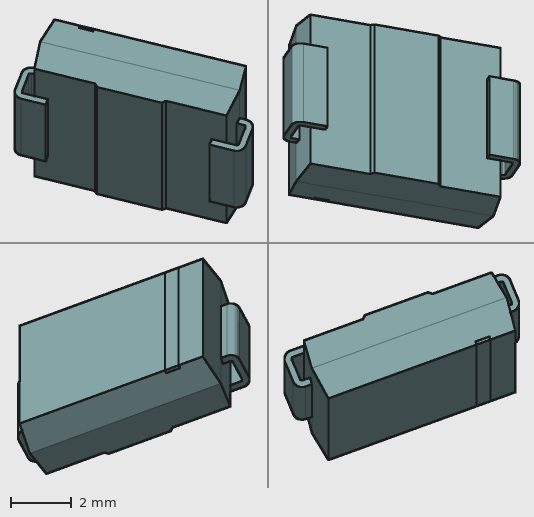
import cadquery as cq
import math

OVERALL_LENGTH = 7.94
OVERALL_DEPTH = 2.5
HOUSING_HEIGHT = 5.91

HOUSING_LENGTH = 6.87
PARTING_Y = 1.36
PAD_FACE_Y = 0.2
BACK_FACE_Y = OVERALL_DEPTH
FACE_INSET = 0.14

PAD_BASE_WIDTH = 2.45
PAD_RISE = 0.11
SIDE_FACE_Y = PAD_FACE_Y + PAD_RISE
PAD_TOP_WIDTH = PAD_BASE_WIDTH - 2 * PAD_RISE

BAND_WIDTH = 0.49
BAND_DEPTH = 0.11
BAND_CENTER_X = -2.18

LEAD_THICKNESS = 0.24
LEAD_WIDTH = 2.98
LEAD_BEND_RADIUS = 0.31
LEAD_FOOT_LENGTH = 1.15


def tapered_half(face_y):
    """Half of the housing, narrowing from the parting plane to a flat face."""
    toward_face = face_y - PARTING_Y
    taper_angle = math.degrees(math.atan(FACE_INSET / abs(toward_face)))
    parting_plane = cq.Plane(
        origin=(0, PARTING_Y, 0),
        xDir=(1, 0, 0),
        normal=(0, math.copysign(1, toward_face), 0),
    )
    return (
        cq.Workplane(parting_plane)
        .rect(HOUSING_LENGTH, HOUSING_HEIGHT)
        .extrude(abs(toward_face), taper=taper_angle)
    )


def make_relief(side):
    """Cutter that lowers the front face beside the pad on one side (-1 left, +1 right)."""
    beyond_wall_x = side * HOUSING_LENGTH / 2
    return (
        cq.Workplane("XY")
        .polyline([
            (side * PAD_TOP_WIDTH / 2, PAD_FACE_Y),
            (side * PAD_BASE_WIDTH / 2, SIDE_FACE_Y),
            (beyond_wall_x, SIDE_FACE_Y),
            (beyond_wall_x, PAD_FACE_Y),
        ])
        .close()
        .extrude(HOUSING_HEIGHT / 2, both=True)
    )


def make_envelope():
    """Housing shape before the band is let in, with the pad standing between two reliefs."""
    envelope = tapered_half(PAD_FACE_Y).union(tapered_half(BACK_FACE_Y))
    for side in (-1, 1):
        envelope = envelope.cut(make_relief(side))
    return envelope


def make_band(envelope):
    """Polarity band, flush with the housing envelope on its back and ends."""
    strip = cq.Workplane("XY").box(BAND_WIDTH, BAND_DEPTH, HOUSING_HEIGHT)
    strip = strip.translate((BAND_CENTER_X, BACK_FACE_Y - BAND_DEPTH / 2, 0))
    return envelope.intersect(strip)


def make_lead(side, envelope):
    """Lead on one side (-1 left, +1 right), ending against the housing wall."""
    outer_x = side * OVERALL_LENGTH / 2
    foot_end_x = side * (OVERALL_LENGTH / 2 - LEAD_FOOT_LENGTH)
    inner_x = outer_x - side * LEAD_THICKNESS
    arm_bottom_y = PARTING_Y - LEAD_THICKNESS
    inner_radius = LEAD_BEND_RADIUS - LEAD_THICKNESS

    def bent_slab(start_x, bottom_y, top_y, radius):
        """Block with its two outward corners rounded."""
        slab = (
            cq.Workplane("XY")
            .moveTo(foot_end_x, bottom_y)
            .lineTo(start_x, bottom_y)
            .lineTo(start_x, top_y)
            .lineTo(foot_end_x, top_y)
            .close()
            .extrude(LEAD_WIDTH / 2, both=True)
        )
        bend_side = ">X" if side > 0 else "<X"
        return slab.faces(bend_side).edges("|Z").fillet(radius)

    outside = bent_slab(outer_x, 0, PARTING_Y, LEAD_BEND_RADIUS)
    inside = bent_slab(inner_x, LEAD_THICKNESS, arm_bottom_y, inner_radius)
    return outside.cut(inside).cut(envelope)


housing_envelope = make_envelope()
band = make_band(housing_envelope)
housing = housing_envelope.cut(band)
leads = [make_lead(side, housing_envelope) for side in (-1, 1)]

result = cq.Compound.makeCompound([
    housing.solids().val(),
    band.solids().val(),
    *[lead.solids().val() for lead in leads],
])